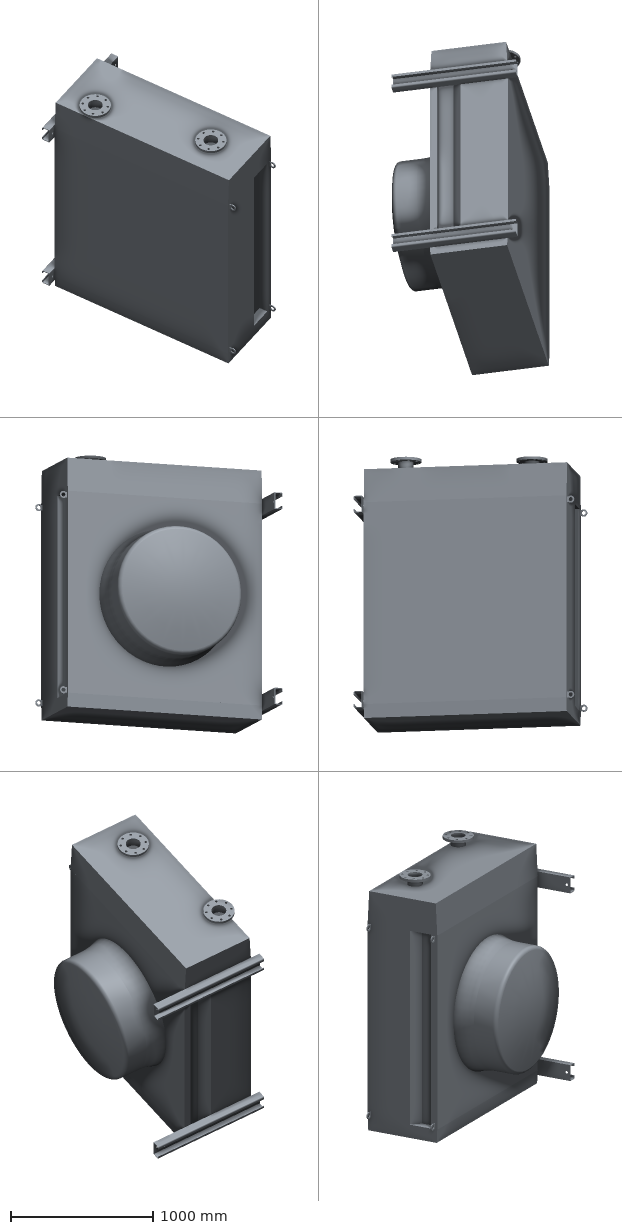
import cadquery as cq
import math


CORE_WIDTH = 1450.0
CORE_HEIGHT = 1446.0
CORE_DEPTH = 561.0
HALF_WIDTH = CORE_WIDTH / 2
HALF_HEIGHT = CORE_HEIGHT / 2

RECESS_START = 340.0
RECESS_DEPTH = 64.0
RECESS_FLOOR_START = RECESS_START + RECESS_DEPTH
RECESS_END = 510.0
REAR_BAND_SETBACK = 3.0

TOP_TANK_HEIGHT = 239.0
BOTTOM_TANK_HEIGHT = 99.0
TANK_DRAFT = 3.0

COWL_LENGTH = 385.0
COWL_RADIUS = 461.0
COWL_MOUTH_RADIUS = 490.0
COWL_FLARE_LENGTH = 147.0
CROWN_RADIUS = 1750.0
CROWN_EDGE_RADIUS = 33.0

NOZZLE_PLACES = [(-438.0, 81.0), (438.0, 222.0)]
NOZZLE_HEIGHT = 71.0
PIPE_OUTER = 108.0
PIPE_BORE = 104.0
FLANGE_DIAMETER = 220.0
FLANGE_THICKNESS = 20.0
BOLT_CIRCLE = 180.0
BOLT_HOLE = 18.0
BOLT_COUNT = 8

RAIL_WIDTH = 60.0
RAIL_HEIGHT = 119.0
RAIL_THICKNESS = 5.0
RAIL_LIP = 25.0
RAIL_BEND = 10.0
RAIL_FRONT = -70.0
RAIL_LENGTH = 893.0
RAIL_HOLE = 20.0
RAIL_FRONT_HOLE_INSET = 43.0
RAIL_REAR_HOLE_INSET = 30.0

EYE_RADIUS = 25.5
EYE_HOLE = 28.0
EYE_SHANK_HEIGHT = 40.0
EYE_THICKNESS = 7.0
EYE_INSET = 23.0

LOWER_INSET = 22.0
UPPER_INSET = 25.0
LEVELS = [LOWER_INSET - HALF_HEIGHT, HALF_HEIGHT - UPPER_INSET]


def make_cowl():
    apex = CORE_DEPTH + COWL_LENGTH
    crown_centre = apex - CROWN_RADIUS
    edge_centre_radius = COWL_RADIUS - CROWN_EDGE_RADIUS
    centre_distance = CROWN_RADIUS - CROWN_EDGE_RADIUS
    crown_angle = math.asin(edge_centre_radius / centre_distance)
    barrel_end = crown_centre + centre_distance * math.cos(crown_angle)

    def crown_point(angle):
        return (CROWN_RADIUS * math.sin(angle), crown_centre + CROWN_RADIUS * math.cos(angle))

    return (
        cq.Workplane("XY")
        .moveTo(0, CORE_DEPTH)
        .lineTo(0, apex)
        .threePointArc(crown_point(crown_angle / 2), crown_point(crown_angle))
        .tangentArcPoint((COWL_RADIUS, barrel_end), relative=False)
        .lineTo(COWL_RADIUS, CORE_DEPTH + COWL_FLARE_LENGTH)
        .tangentArcPoint((COWL_MOUTH_RADIUS, CORE_DEPTH), relative=False)
        .close()
        .revolve(360, (0, 0, 0), (0, 1, 0))
    )


def make_side_recess(side, band_setback):
    """Material to cut from the core on the -X side (-1) or the +X side (1)."""
    face = side * HALF_WIDTH
    floor = side * (HALF_WIDTH - RECESS_DEPTH)
    outline = [(face, RECESS_START), (floor, RECESS_FLOOR_START), (floor, RECESS_END)]
    if band_setback:
        band = side * (HALF_WIDTH - band_setback)
        outline += [(band, RECESS_END), (band, CORE_DEPTH), (face, CORE_DEPTH)]
    else:
        outline.append((face, RECESS_END))
    return (
        cq.Workplane("XY", origin=(0, 0, -HALF_HEIGHT))
        .polyline(outline)
        .close()
        .extrude(CORE_HEIGHT)
    )


def make_core():
    block = cq.Workplane("XY").box(CORE_WIDTH, CORE_DEPTH, CORE_HEIGHT, centered=(True, False, True))
    rail_side = make_side_recess(-1, REAR_BAND_SETBACK)
    eye_side = make_side_recess(1, 0)
    return block.cut(rail_side).cut(eye_side).union(make_cowl())


def make_tank(joint, height, direction):
    """Tank body growing from the joint level, up (1) or down (-1)."""
    lean = height * math.tan(math.radians(TANK_DRAFT))
    end = joint + direction * height
    return (
        cq.Workplane("YZ", origin=(-HALF_WIDTH, 0, 0))
        .polyline([(0, joint), (CORE_DEPTH, joint), (CORE_DEPTH - lean, end), (lean, end)])
        .close()
        .extrude(CORE_WIDTH)
    )


def make_nozzle(x, y, roof):
    """Pipe and bolted flange standing on the tank roof."""
    pipe_length = NOZZLE_HEIGHT - FLANGE_THICKNESS
    pipe = cq.Workplane("XY", origin=(x, y, roof)).circle(PIPE_OUTER / 2).extrude(pipe_length)
    flange_base = cq.Workplane("XY", origin=(x, y, roof + pipe_length))
    flange = flange_base.circle(FLANGE_DIAMETER / 2).extrude(FLANGE_THICKNESS)
    bolt_holes = (
        flange_base
        .polarArray(BOLT_CIRCLE / 2, 180 / BOLT_COUNT, 360, BOLT_COUNT)
        .circle(BOLT_HOLE / 2)
        .extrude(FLANGE_THICKNESS)
    )
    bore = cq.Workplane("XY", origin=(x, y, roof)).circle(PIPE_BORE / 2).extrude(NOZZLE_HEIGHT)
    return pipe.union(flange).cut(bolt_holes).cut(bore)


def make_top_tank():
    tank = make_tank(HALF_HEIGHT, TOP_TANK_HEIGHT, 1)
    for x, y in NOZZLE_PLACES:
        tank = tank.union(make_nozzle(x, y, HALF_HEIGHT + TOP_TANK_HEIGHT))
    return tank


def make_rail_bar(level, wall, bend):
    """Solid bar along Y, the given wall inside the rail's outline, with its -X corners rounded."""
    return (
        cq.Workplane("XZ", origin=(-HALF_WIDTH - RAIL_WIDTH / 2, RAIL_FRONT, level))
        .rect(RAIL_WIDTH - 2 * wall, RAIL_HEIGHT - 2 * wall)
        .extrude(-RAIL_LENGTH)
        .edges("|Y and <X")
        .fillet(bend)
    )


def make_rail(level):
    outside = make_rail_bar(level, 0, RAIL_BEND)
    inside = make_rail_bar(level, RAIL_THICKNESS, RAIL_BEND - RAIL_THICKNESS)
    mouth = (
        cq.Workplane("XZ", origin=(-HALF_WIDTH - RAIL_WIDTH, RAIL_FRONT, level))
        .rect(RAIL_WIDTH, RAIL_HEIGHT - 2 * RAIL_LIP)
        .extrude(-RAIL_LENGTH)
    )
    hole_places = [
        (RAIL_FRONT + RAIL_FRONT_HOLE_INSET, 0),
        (RAIL_FRONT + RAIL_LENGTH - RAIL_REAR_HOLE_INSET, 0),
    ]
    holes = (
        cq.Workplane("YZ", origin=(-HALF_WIDTH - RAIL_THICKNESS, 0, level))
        .pushPoints(hole_places)
        .circle(RAIL_HOLE / 2)
        .extrude(RAIL_THICKNESS)
    )
    return outside.cut(inside).cut(mouth).cut(holes)


def make_eye(y, level):
    """Ring touching the core's +X face, joined to it by a short shank."""
    ring_plane = cq.Workplane("XZ", origin=(HALF_WIDTH + EYE_RADIUS, y - EYE_THICKNESS / 2, level))
    ring = ring_plane.circle(EYE_RADIUS).extrude(-EYE_THICKNESS)
    hole = ring_plane.circle(EYE_HOLE / 2).extrude(-EYE_THICKNESS)
    shank = (
        ring_plane
        .center(-EYE_RADIUS / 2, 0)
        .rect(EYE_RADIUS, EYE_SHANK_HEIGHT)
        .extrude(-EYE_THICKNESS)
    )
    return ring.union(shank).cut(hole)


core = make_core()
top_tank = make_top_tank()
bottom_tank = make_tank(-HALF_HEIGHT, BOTTOM_TANK_HEIGHT, -1)
rails = [make_rail(level) for level in LEVELS]
eyes = [make_eye(y, level) for y in (EYE_INSET, CORE_DEPTH - EYE_INSET) for level in LEVELS]

result = cq.Compound.makeCompound([
    core.solids().val(),
    top_tank.solids().val(),
    bottom_tank.solids().val(),
    *[rail.solids().val() for rail in rails],
    *[eye.solids().val() for eye in eyes],
])